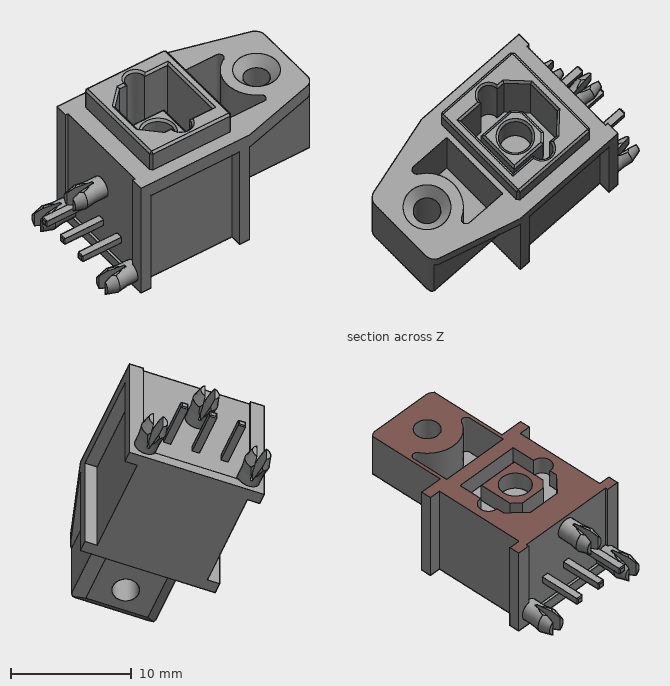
import cadquery as cq
import math


EDGE_BREAK = 0.2

BLOCK_WIDTH = 12.0
BLOCK_DEPTH = 11.05
BLOCK_TOP = 12.0
FRONT_RECESS_DEPTH = 0.25
FRONT_RECESS_BOTTOM = 1.0
SIDE_RECESS_DEPTH = 1.1
SIDE_RECESS_MARGIN = 1.02

TAB_END = 19.01
TAB_END_WIDTH = 7.6
TAB_BODY_WIDTH = 7.51
TAB_PLATE_THICKNESS = 1.4
TAB_BOTTOM = 3.5
TAB_CORNER_RADIUS = 1.0
TAB_BOTTOM_CHAMFER = 1.0
TAB_PLATE_BOTTOM = BLOCK_TOP - TAB_PLATE_THICKNESS

SCREW_Y = 16.0
SCREW_RADIUS = 1.14
COUNTERSINK_RADIUS = 1.98

POCKET_HALF_WIDTH = 3.4
POCKET_FRONT = 10.6
POCKET_ARC_RADIUS = 3.0
POCKET_TIP_RADIUS = 0.4
POCKET_DEPTH = BLOCK_TOP - TAB_BOTTOM - TAB_PLATE_THICKNESS

SOCKET_Y = 6.0
COLLAR_WIDTH = 9.55
COLLAR_DEPTH = 8.25
COLLAR_HEIGHT = 2.0
COLLAR_TOP = BLOCK_TOP + COLLAR_HEIGHT

SOCKET_HALF_WIDTH = 3.19
SOCKET_HALF_DEPTH = 3.23
SOCKET_CORNER_CUT = 1.57
LOBE_OFFSET = 3.23
LOBE_RADIUS = 0.9
SOCKET_DEPTH = 7.0
SOCKET_FLOOR = COLLAR_TOP - SOCKET_DEPTH

POST_HALF_WIDTH = 2.0
POST_CORNER_CUT = 0.73
POST_SETBACK = 3.5
POST_TOP = COLLAR_TOP - POST_SETBACK
BORE_RADIUS = 1.4

PEG_X = 4.6
SIDE_PEG_Z = 1.43
CENTRE_PEG_Z = 7.4
PEG_SHAFT_RADIUS = 0.95
PEG_BARB_RADIUS = 1.1
PEG_TIP_RADIUS = 0.82
PEG_SHAFT_END = 0.95
PEG_BARB_END = 1.91
PEG_LENGTH = 2.95
SLIT_START = 0.61
SLIT_ROOT_WIDTH = 0.18
SLIT_TIP_WIDTH = 0.87

PIN_COUNT = 3
PIN_PITCH = 2.55
PIN_SIZE = 0.64
PIN_Z = 3.5
PIN_TIP = 3.75
PIN_CHAMFER = 0.1


def box(x_range, y_range, z_range):
    """Axis-aligned box from its limits along X, Y and Z."""
    low, high = zip(x_range, y_range, z_range)
    size = [b - a for a, b in zip(low, high)]
    return cq.Workplane("XY").box(*size, centered=False).translate(low)


def centred(width):
    """Limits of a width that is symmetric about the middle plane."""
    return -width / 2, width / 2


def make_block():
    block = box(centred(BLOCK_WIDTH), (0, BLOCK_DEPTH), (0, BLOCK_TOP))
    front_recess = box(
        centred(COLLAR_WIDTH), (0, FRONT_RECESS_DEPTH), (FRONT_RECESS_BOTTOM, BLOCK_TOP)
    )
    block = block.cut(front_recess)
    side_recess = box(
        (-BLOCK_WIDTH / 2, -BLOCK_WIDTH / 2 + SIDE_RECESS_DEPTH),
        (SIDE_RECESS_MARGIN, BLOCK_DEPTH - SIDE_RECESS_MARGIN),
        (0, TAB_PLATE_BOTTOM),
    )
    return block.cut(side_recess).cut(side_recess.mirror("YZ"))


def make_tab():
    outline = [
        (-BLOCK_WIDTH / 2, BLOCK_DEPTH),
        (BLOCK_WIDTH / 2, BLOCK_DEPTH),
        (TAB_END_WIDTH / 2, TAB_END),
        (-TAB_END_WIDTH / 2, TAB_END),
    ]
    tapered = (
        cq.Workplane("XY", origin=(0, 0, TAB_BOTTOM))
        .polyline(outline)
        .close()
        .extrude(BLOCK_TOP - TAB_BOTTOM)
        .edges("|Z and >Y")
        .fillet(TAB_CORNER_RADIUS)
    )
    plate = tapered.intersect(
        box(centred(BLOCK_WIDTH), (BLOCK_DEPTH, TAB_END), (TAB_PLATE_BOTTOM, BLOCK_TOP))
    )
    straight = (
        box(centred(TAB_BODY_WIDTH), (BLOCK_DEPTH, TAB_END), (TAB_BOTTOM, BLOCK_TOP))
        .faces("<Z")
        .edges("<X or >X or >Y")
        .chamfer(TAB_BOTTOM_CHAMFER)
    )
    return plate.union(tapered.intersect(straight))


def make_collar():
    return (
        box(
            centred(COLLAR_WIDTH),
            (SOCKET_Y - COLLAR_DEPTH / 2, SOCKET_Y + COLLAR_DEPTH / 2),
            (BLOCK_TOP, COLLAR_TOP),
        )
        .edges("|Z or >Z")
        .chamfer(EDGE_BREAK)
    )


def clipped_outline(half_width, half_depth, corner_cut, z):
    """Rectangle about the socket axis with its two -Y corners cut off at 45 degrees."""
    return (
        cq.Workplane("XY", origin=(0, SOCKET_Y, z))
        .moveTo(-half_width, half_depth)
        .lineTo(half_width, half_depth)
        .lineTo(half_width, corner_cut - half_depth)
        .lineTo(half_width - corner_cut, -half_depth)
        .lineTo(corner_cut - half_width, -half_depth)
        .lineTo(-half_width, corner_cut - half_depth)
        .close()
    )


def cut_socket(housing):
    """Cut the socket and break the edge of its mouth in the collar top."""
    socket = clipped_outline(
        SOCKET_HALF_WIDTH, SOCKET_HALF_DEPTH, SOCKET_CORNER_CUT, SOCKET_FLOOR
    ).extrude(SOCKET_DEPTH)
    lobes = (
        cq.Workplane("XY", origin=(0, SOCKET_Y, SOCKET_FLOOR))
        .pushPoints([(-LOBE_OFFSET, 0), (LOBE_OFFSET, 0)])
        .circle(LOBE_RADIUS)
        .extrude(SOCKET_DEPTH)
    )
    housing = housing.cut(socket.union(lobes))
    top_outlines = housing.faces(">Z").wires().vals()
    mouth = min(top_outlines, key=lambda wire: wire.BoundingBox().DiagonalLength)
    return housing.newObject(mouth.Edges()).chamfer(EDGE_BREAK)


def make_post():
    height = POST_TOP - SOCKET_FLOOR
    post = clipped_outline(POST_HALF_WIDTH, POST_HALF_WIDTH, POST_CORNER_CUT, SOCKET_FLOOR)
    post = post.extrude(height).faces(">Z").edges().chamfer(EDGE_BREAK)
    bore = cq.Workplane("XY", origin=(0, SOCKET_Y, SOCKET_FLOOR)).circle(BORE_RADIUS).extrude(height)
    return post.cut(bore).faces(">Z").edges("%CIRCLE").chamfer(EDGE_BREAK)


def make_screw_cutter():
    """Through hole with a 45 degree countersink at the top, revolved about the screw axis."""
    countersink_depth = COUNTERSINK_RADIUS - SCREW_RADIUS
    profile = [
        (0, TAB_BOTTOM),
        (SCREW_RADIUS, TAB_BOTTOM),
        (SCREW_RADIUS, BLOCK_TOP - countersink_depth),
        (COUNTERSINK_RADIUS, BLOCK_TOP),
        (0, BLOCK_TOP),
    ]
    cutter = cq.Workplane("XZ").polyline(profile).close().revolve(360, (0, 0), (0, 1))
    return cutter.translate((0, SCREW_Y, 0))


def make_pocket_cutter():
    """Pocket whose back wall is an arc about the screw hole, with a rounded tip at each end."""
    tip_x = POCKET_HALF_WIDTH - POCKET_TIP_RADIUS
    centre_distance = POCKET_ARC_RADIUS + POCKET_TIP_RADIUS
    tip_y = SCREW_Y - math.sqrt(centre_distance**2 - tip_x**2)
    touch_ratio = POCKET_ARC_RADIUS / centre_distance
    touch_x = tip_x * touch_ratio
    touch_y = SCREW_Y + (tip_y - SCREW_Y) * touch_ratio
    tip_top = tip_y + POCKET_TIP_RADIUS
    return (
        cq.Workplane("XY", origin=(0, 0, BLOCK_TOP))
        .moveTo(-POCKET_HALF_WIDTH, POCKET_FRONT)
        .lineTo(POCKET_HALF_WIDTH, POCKET_FRONT)
        .lineTo(POCKET_HALF_WIDTH, tip_y)
        .threePointArc((tip_x, tip_top), (touch_x, touch_y))
        .threePointArc((0, SCREW_Y - POCKET_ARC_RADIUS), (-touch_x, touch_y))
        .threePointArc((-tip_x, tip_top), (-POCKET_HALF_WIDTH, tip_y))
        .close()
        .extrude(-POCKET_DEPTH)
    )


def make_peg(x, z):
    """Barbed peg along -Y, flattened above and below and split by a widening slit."""
    profile = [
        (0, FRONT_RECESS_DEPTH),
        (PEG_SHAFT_RADIUS, FRONT_RECESS_DEPTH),
        (PEG_SHAFT_RADIUS, -PEG_SHAFT_END),
        (PEG_BARB_RADIUS, -PEG_BARB_END),
        (PEG_TIP_RADIUS, -PEG_LENGTH),
        (0, -PEG_LENGTH),
    ]
    peg = cq.Workplane("XY").polyline(profile).close().revolve(360, (0, 0), (0, 1))
    flats = box(
        centred(2 * PEG_BARB_RADIUS),
        (-PEG_LENGTH, FRONT_RECESS_DEPTH),
        centred(2 * PEG_SHAFT_RADIUS),
    )
    slit_outline = [
        (-SLIT_ROOT_WIDTH / 2, -SLIT_START),
        (SLIT_ROOT_WIDTH / 2, -SLIT_START),
        (SLIT_TIP_WIDTH / 2, -PEG_LENGTH),
        (-SLIT_TIP_WIDTH / 2, -PEG_LENGTH),
    ]
    slit = cq.Workplane("XY").polyline(slit_outline).close().extrude(PEG_BARB_RADIUS, both=True)
    return peg.intersect(flats).cut(slit).translate((x, 0, z))


def make_housing():
    housing = make_block().union(make_tab()).union(make_collar())
    housing = cut_socket(housing).union(make_post())
    housing = housing.cut(make_screw_cutter()).cut(make_pocket_cutter())
    for x, z in [(-PEG_X, SIDE_PEG_Z), (PEG_X, SIDE_PEG_Z), (0, CENTRE_PEG_Z)]:
        housing = housing.union(make_peg(x, z))
    return housing


def make_pin(x):
    """Square contact pin standing on the front recess face."""
    pin = box(
        (x - PIN_SIZE / 2, x + PIN_SIZE / 2),
        (-PIN_TIP, FRONT_RECESS_DEPTH),
        (PIN_Z - PIN_SIZE / 2, PIN_Z + PIN_SIZE / 2),
    )
    return pin.faces("<Y").edges().chamfer(PIN_CHAMFER)


housing = make_housing()
pins = [make_pin((i - (PIN_COUNT - 1) / 2) * PIN_PITCH) for i in range(PIN_COUNT)]

result = cq.Compound.makeCompound([housing.val(), *[pin.val() for pin in pins]])